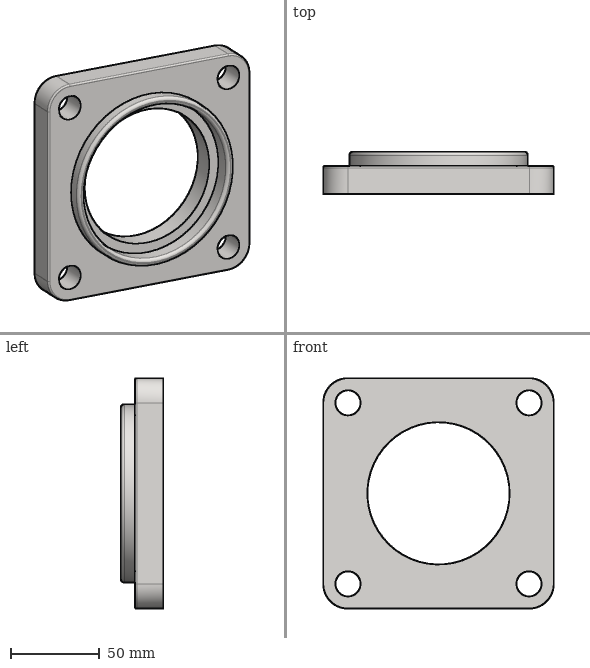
import cadquery as cq

plate_side = 130.0
plate_thickness = 16.0
corner_radius = 14.0
plate_edge_fillet = 1.0

mounting_hole_diameter = 14.0
mounting_hole_pitch = plate_side - 2 * corner_radius

spigot_diameter = 100.6
spigot_height = 8.0
spigot_rim_fillet = 2.0
total_depth = plate_thickness + spigot_height

bore_diameter = 80.0
bore_depth = 13.5
counterbore_diameter = 91.6
counterbore_depth = total_depth - bore_depth
counterbore_rim_fillet = 2.0


def plane_at_depth(depth):
    """Workplane at the given Y, with its normal pointing towards +Y."""
    return cq.Workplane(cq.Plane(origin=(0, depth, 0), xDir=(1, 0, 0), normal=(0, 1, 0)))


def make_plate():
    plate = plane_at_depth(0).rect(plate_side, plate_side).extrude(plate_thickness)
    plate = plate.edges("|Y").fillet(corner_radius)
    return plate.faces(">Y").edges().fillet(plate_edge_fillet)


def make_spigot():
    spigot = plane_at_depth(0).circle(spigot_diameter / 2).extrude(total_depth)
    return spigot.faces(">Y").edges().fillet(spigot_rim_fillet)


def make_mounting_holes():
    centres = plane_at_depth(0).rect(mounting_hole_pitch, mounting_hole_pitch, forConstruction=True)
    return centres.vertices().circle(mounting_hole_diameter / 2).extrude(plate_thickness)


def cut_stepped_bore(body):
    bore = plane_at_depth(0).circle(bore_diameter / 2).extrude(total_depth)
    counterbore = plane_at_depth(bore_depth).circle(counterbore_diameter / 2).extrude(counterbore_depth)
    bored = body.cut(bore).cut(counterbore)
    inner_rim = bored.faces(">Y").edges(cq.selectors.RadiusNthSelector(0))
    return inner_rim.fillet(counterbore_rim_fillet)


body = make_plate().union(make_spigot())
result = cut_stepped_bore(body).cut(make_mounting_holes())